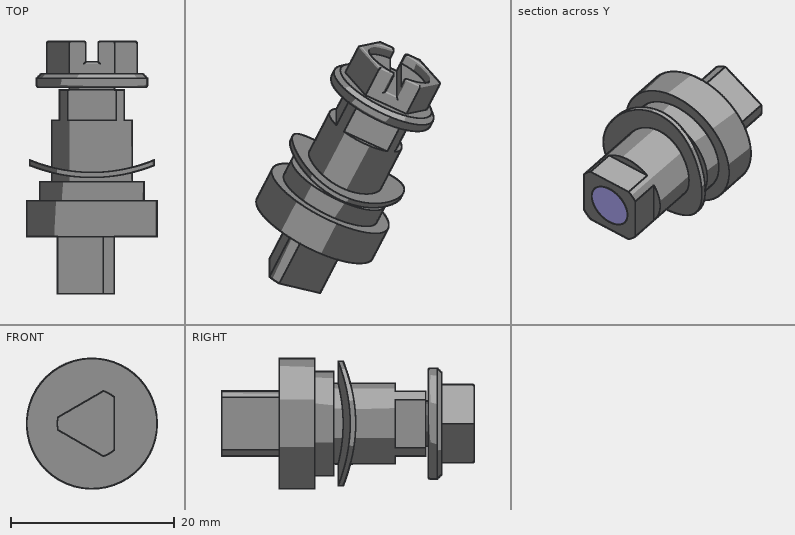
import cadquery as cq
import math


flange_front = 7.03
flange_back = 11.42
collar_back = 13.75
shaft_back = 21.3
square_back = 25.0
head_flange_front = 25.3
head_flange_back = 27.0
overall_length = 30.95

drive_inradius = 2.75
drive_corner_radius = 4.25

flange_radius = 16.0 / 2
collar_radius = 6.4
shaft_radius = 4.95
square_width = 7.95
neck_radius = 2.8

washer_radius = 7.65
washer_front = 14.27
washer_thickness = 0.62
washer_bend_radius = 19.8

head_flange_radius = 6.8
head_flange_chamfer = 0.6
hex_across_flats = 9.63
slot_width = 1.5
slot_depth = 2.5
recess_radius = 4.15
recess_depth = 1.25
edge_fillet = 0.3


def section_plane(y):
    """XZ plane at station y, with local x = X, local y = Z and extrusion toward +Y."""
    return cq.Workplane(cq.Plane(origin=(0, y, 0), xDir=(1, 0, 0), normal=(0, -1, 0)))


def disc(y_front, y_back, radius):
    return section_plane(y_front).circle(radius).extrude(y_front - y_back)


def triangular_drive():
    triangle_circumradius = 2 * drive_inradius
    triangle = (
        section_plane(0)
        .polygon(3, 2 * triangle_circumradius)
        .extrude(-flange_front)
        .rotate((0, 0, 0), (0, 1, 0), 180)
    )
    return triangle.intersect(disc(0, flange_front, drive_corner_radius))


def square_shank():
    square = section_plane(shaft_back).rect(square_width, square_width).extrude(shaft_back - square_back)
    return square.intersect(disc(shaft_back, square_back, shaft_radius))


def spring_washer():
    bend_center = washer_front + washer_thickness + washer_bend_radius
    bent_sheet = (
        cq.Workplane("XY")
        .center(0, bend_center)
        .circle(washer_bend_radius + washer_thickness)
        .circle(washer_bend_radius)
        .extrude(washer_radius, both=True)
    )
    return bent_sheet.intersect(disc(washer_front, bend_center, washer_radius))


def head_flange():
    return (
        disc(head_flange_front, head_flange_back, head_flange_radius)
        .faces(">Y").edges().chamfer(head_flange_chamfer)
        .faces("<Y").edges().fillet(edge_fillet)
    )


def hexagon_head():
    hex_across_corners = hex_across_flats / math.cos(math.pi / 6)
    hexagon = (
        section_plane(head_flange_back)
        .polygon(6, hex_across_corners)
        .extrude(head_flange_back - overall_length)
    )
    slot_floor = overall_length - slot_depth
    slot = section_plane(slot_floor).rect(slot_width, hex_across_corners).extrude(-slot_depth)
    recess = disc(overall_length - recess_depth, overall_length, recess_radius)
    head = hexagon.cut(slot).cut(recess)
    slot_mouth = cq.selectors.BoxSelector(
        (-slot_width, slot_floor - edge_fillet, -hex_across_flats),
        (slot_width, overall_length, hex_across_flats),
    )
    mouth_edges = head.faces("<Z or >Z").edges(slot_mouth)
    return mouth_edges.add(head.faces(">Y").edges()).fillet(edge_fillet)


result = (
    triangular_drive()
    .union(disc(flange_front, flange_back, flange_radius))
    .union(disc(flange_back, collar_back, collar_radius))
    .union(disc(collar_back, shaft_back, shaft_radius))
    .union(spring_washer())
    .union(square_shank())
    .union(disc(square_back, head_flange_front, neck_radius))
    .union(head_flange())
    .union(hexagon_head())
)